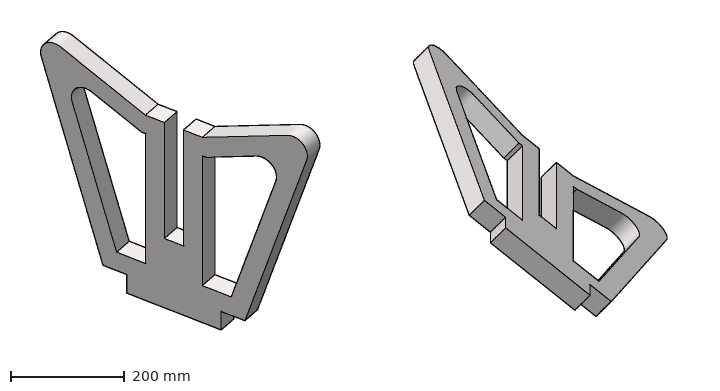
import cadquery as cq
import math

wall = 40.0
corner_radius = 30.5
base_half_width = 99.5
wing_bottom_half_width = 150.0
shoulder_height = 400.0
tip_x = 301.0
tip_z = 502.0
slot_bottom = 150.0

slot_half_width = wall / 2
shoulder_x = slot_half_width + wall
pocket_bottom = 2 * wall
pocket_top = shoulder_height - wall

side_slope = (tip_x - wing_bottom_half_width) / (tip_z - wall)
arm_angle = math.atan2(tip_z - shoulder_height, tip_x - shoulder_x)
arm_slope = math.tan(arm_angle)
pocket_bottom_x = wing_bottom_half_width + side_slope * wall - wall * math.hypot(1, side_slope)
pocket_top_x = shoulder_x + wall * math.tan(arm_angle / 2)

pocket_tip_z = (
    pocket_top + arm_slope * (pocket_bottom_x - side_slope * pocket_bottom - pocket_top_x)
) / (1 - arm_slope * side_slope)
pocket_tip_x = pocket_bottom_x + side_slope * (pocket_tip_z - pocket_bottom)


def extrude_outline(points):
    """Extrude an XZ outline symmetrically about the XZ plane."""
    return cq.Workplane("XZ").polyline(points).close().extrude(wall / 2, both=True)


def round_outer_corner(body, x, z):
    """Round the Y-parallel edge through the given XZ point."""
    edge = cq.selectors.NearestToPointSelector((x, 0, z))
    return body.edges("|Y").edges(edge).fillet(corner_radius)


def half_plate():
    """Right half: base, wing and pocket, with the slot left open at the centre."""
    body = extrude_outline([
        (0, 0),
        (base_half_width, 0),
        (base_half_width, wall),
        (wing_bottom_half_width, wall),
        (tip_x, tip_z),
        (shoulder_x, shoulder_height),
        (slot_half_width, shoulder_height),
        (slot_half_width, slot_bottom),
        (0, slot_bottom),
    ])
    pocket = extrude_outline([
        (shoulder_x, pocket_bottom),
        (pocket_bottom_x, pocket_bottom),
        (pocket_tip_x, pocket_tip_z),
        (pocket_top_x, pocket_top),
        (shoulder_x, pocket_top),
    ])
    body = round_outer_corner(body, tip_x, tip_z)
    pocket = round_outer_corner(pocket, pocket_tip_x, pocket_tip_z)
    return body.cut(pocket)


right_half = half_plate()
result = right_half.union(right_half.mirror("YZ"))